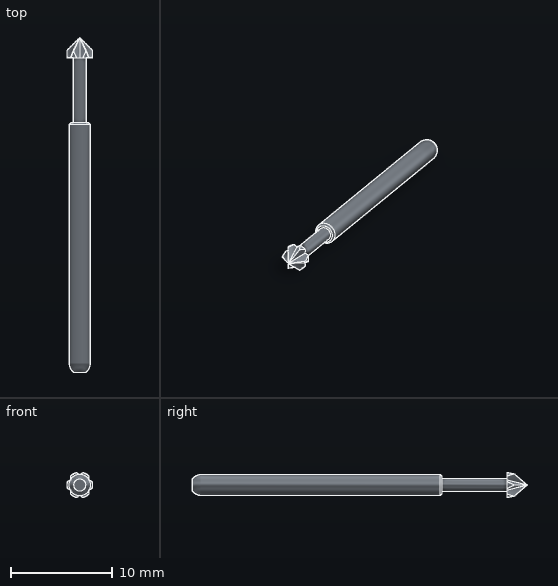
import cadquery as cq
import math

total_length = 33.1
tip_y = total_length / 2
tail_y = -total_length / 2

ridge_count = 6
head_diameter = 2.55
head_length = 2.02
ridge_base_radius = head_length
valley_base_radius = 1.03

plunger_radius = 0.65
barrel_radius = 1.05
barrel_length = 24.7
barrel_chamfer = 0.2

tail_length = 0.85
tail_flat_radius = 0.6
tail_arc_radius = 1.2

head_base_y = tip_y - head_length
barrel_front_y = tail_y + barrel_length


def make_head():
    """Fluted point: a six-ridged star pyramid trimmed to a cylinder."""
    star_points = []
    for corner in range(2 * ridge_count):
        radius = valley_base_radius if corner % 2 else ridge_base_radius
        angle = math.pi * corner / ridge_count
        star_points.append(cq.Vector(radius * math.cos(angle), head_base_y, radius * math.sin(angle)))
    tip = cq.Vector(0, tip_y, 0)

    faces = [cq.Face.makeFromWires(cq.Wire.makePolygon(star_points, close=True))]
    for start, end in zip(star_points, star_points[1:] + star_points[:1]):
        faces.append(cq.Face.makeFromWires(cq.Wire.makePolygon([start, end, tip], close=True)))
    pyramid = cq.Solid.makeSolid(cq.Shell.makeShell(faces))

    envelope = cq.Workplane("XZ", origin=(0, tip_y, 0)).circle(head_diameter / 2).extrude(head_length)
    return envelope.intersect(cq.Workplane(pyramid))


def make_shaft():
    """Plunger and barrel revolved about Y, with a chamfered mouth and a rounded tail."""
    tail_start_y = tail_y + tail_length
    profile = (
        cq.Workplane("YZ")
        .moveTo(head_base_y, 0)
        .lineTo(head_base_y, plunger_radius)
        .lineTo(barrel_front_y, plunger_radius)
        .lineTo(barrel_front_y, barrel_radius - barrel_chamfer)
        .lineTo(barrel_front_y - barrel_chamfer, barrel_radius)
        .lineTo(tail_start_y, barrel_radius)
        .radiusArc((tail_y, tail_flat_radius), -tail_arc_radius)
        .lineTo(tail_y, 0)
        .close()
    )
    return profile.revolve(360, (0, 0, 0), (1, 0, 0))


result = make_shaft().union(make_head())